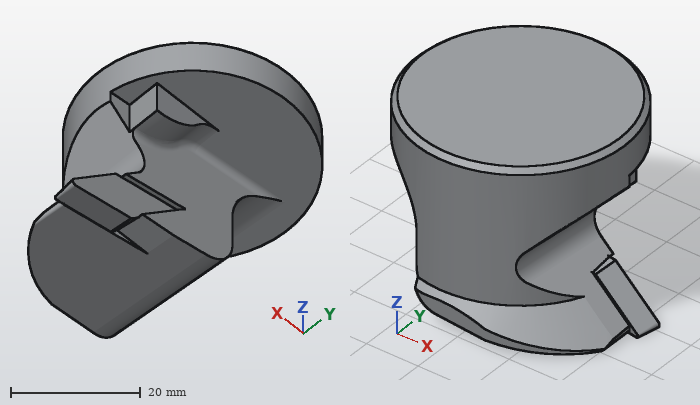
import cadquery as cq
import math

HEAD_TURN = 4.0

OVERALL_DEPTH = 41.15

DISC_DIAMETER = 40.0
DISC_RADIUS = DISC_DIAMETER / 2
DISC_CHAMFER = 1.0
DISC_BOTTOM = -7.25
STEM_LEFT = -5.55
NECK_RADIUS = 9.95
HEEL_RADIUS = 5.95
BASE_SLOPE = 5.2
BASE_AT_AXIS = -29.4
STEM_BACK = 2.8

NOTCH_CORNER_X = 10.75
NOTCH_CORNER_Z = -18.45
NOTCH_RISE = 45.0
NOTCH_FALL = 40.7
NOTCH_RADIUS = 4.1

FOOT_TOP = -25.4
FOOT_TOP_SLOPE = 0.9
FOOT_FRONT = DISC_RADIUS - OVERALL_DEPTH
FOOT_END = 24.4
FOOT_SIDE_START = -10.45
FOOT_CURVE_MIDDLE = (18.25, -17.35)
FOOT_CURVE_END = 9.2
FOOT_HEEL_START = -1.88
FOOT_HEEL_Y = -20.4
FOOT_TIP_ROUND = 0.45

BOSS_LOWER_RADIUS = 12.65
BOSS_UPPER_RADIUS = 5.8
BOSS_BOTTOM = -13.4
BOSS_END = 7.93
BOSS_FILLET = 1.15

INSERT_SIDE = 13.75
INSERT_ANGLE = 35.5
INSERT_BACK = 1.88
INSERT_THICKNESS = 4.5
INSERT_RELIEF = 5.0
INSERT_NOSE = 0.7
INSERT_CORNER_X = 28.25
INSERT_CORNER_Z = -32.5

RELIEF_TOP = -30.0
RELIEF_FRONT = -3.25
RELIEF_DEPTH = 4.7
RELIEF_SLANT = 0.8

REACH = 46.9


def turned(shape):
    """Turn a shape from the head frame into the part frame."""
    return shape.rotate((0, 0, 0), (0, 0, 1), -HEAD_TURN)


def block(x_min, x_max, y_min, y_max, z_min, z_max):
    """Box given by its limits."""
    size = (x_max - x_min, y_max - y_min, z_max - z_min)
    return cq.Workplane("XY").box(*size, centered=False).translate((x_min, y_min, z_min))


def make_disc():
    """Chamfered disc, long enough to leave the stem once the outline is trimmed."""
    return (
        cq.Workplane("XY")
        .circle(DISC_RADIUS)
        .extrude(-REACH)
        .faces(">Z")
        .chamfer(DISC_CHAMFER)
    )


def make_foot():
    """Curved toe whose top is a cone falling away from the stem wall."""
    turn = math.radians(HEAD_TURN)
    back_at_end = (INSERT_BACK - FOOT_END * math.sin(turn)) / math.cos(turn)
    back_at_axis = INSERT_BACK / math.cos(turn)
    plan = (
        cq.Workplane("XY")
        .moveTo(0, back_at_axis)
        .lineTo(FOOT_END, back_at_end)
        .lineTo(FOOT_END, FOOT_SIDE_START)
        .threePointArc(FOOT_CURVE_MIDDLE, (FOOT_CURVE_END, FOOT_FRONT))
        .lineTo(FOOT_HEEL_START, FOOT_FRONT)
        .tangentArcPoint((STEM_LEFT, FOOT_HEEL_Y), relative=False)
        .lineTo(STEM_LEFT, 0)
        .close()
        .extrude(-REACH)
    )
    drop = REACH + FOOT_TOP
    cone = (
        cq.Workplane("XZ")
        .moveTo(0, FOOT_TOP)
        .lineTo(DISC_RADIUS, FOOT_TOP)
        .lineTo(DISC_RADIUS + drop / FOOT_TOP_SLOPE, -REACH)
        .lineTo(0, -REACH)
        .close()
        .revolve(360, (0, 0, 0), (0, 1, 0))
    )
    return plan.intersect(cone)


def make_side_profile():
    """Outline of flange, neck, heel and sloping underside, spanning the full depth."""
    slope = math.radians(BASE_SLOPE)
    heel_x = STEM_LEFT + HEEL_RADIUS
    heel_end_x = heel_x - HEEL_RADIUS * math.sin(slope)
    heel_end_z = BASE_AT_AXIS - heel_end_x * math.tan(slope)
    heel_z = heel_end_z + HEEL_RADIUS * math.cos(slope)
    heel_mid = math.radians(180 + (90 - BASE_SLOPE) / 2)
    neck_x = STEM_LEFT - NECK_RADIUS
    neck_z = DISC_BOTTOM - NECK_RADIUS
    neck_mid = NECK_RADIUS * math.sqrt(0.5)
    return (
        cq.Workplane("XZ")
        .moveTo(-REACH, 0)
        .lineTo(-REACH, DISC_BOTTOM)
        .lineTo(neck_x, DISC_BOTTOM)
        .threePointArc((neck_x + neck_mid, neck_z + neck_mid), (STEM_LEFT, neck_z))
        .lineTo(STEM_LEFT, heel_z)
        .threePointArc(
            (heel_x + HEEL_RADIUS * math.cos(heel_mid), heel_z + HEEL_RADIUS * math.sin(heel_mid)),
            (heel_end_x, heel_end_z),
        )
        .lineTo(REACH, BASE_AT_AXIS - REACH * math.tan(slope))
        .lineTo(REACH, 0)
        .close()
        .extrude(REACH, both=True)
    )


def make_notch():
    """V-shaped chip space with a rounded root."""
    rise = math.tan(math.radians(NOTCH_RISE))
    fall = math.tan(math.radians(NOTCH_FALL))
    notch = (
        cq.Workplane("XZ")
        .moveTo(NOTCH_CORNER_X, NOTCH_CORNER_Z)
        .lineTo(NOTCH_CORNER_X + REACH, NOTCH_CORNER_Z + REACH * rise)
        .lineTo(NOTCH_CORNER_X + REACH, NOTCH_CORNER_Z - REACH * fall)
        .close()
        .extrude(REACH, both=True)
        .edges("|Y and <X")
        .fillet(NOTCH_RADIUS)
    )
    return turned(notch)


def boss_curve():
    """Start, two arc midpoints, the join and the end of the S-shaped boss underside."""
    radii = BOSS_UPPER_RADIUS + BOSS_LOWER_RADIUS
    sweep = math.acos(1 - (DISC_BOTTOM - BOSS_BOTTOM) / radii)
    end_x = NOTCH_CORNER_X + (BOSS_BOTTOM - NOTCH_CORNER_Z) / math.tan(math.radians(NOTCH_RISE))
    start_x = end_x - radii * math.sin(sweep)

    def upper(angle):
        drop = BOSS_UPPER_RADIUS * (1 - math.cos(angle))
        return (start_x + BOSS_UPPER_RADIUS * math.sin(angle), DISC_BOTTOM - drop)

    def lower(angle):
        rise = BOSS_LOWER_RADIUS * (1 - math.cos(angle))
        return (end_x - BOSS_LOWER_RADIUS * math.sin(angle), BOSS_BOTTOM + rise)

    return upper(0), upper(sweep / 2), upper(sweep), lower(sweep / 2), lower(0)


def make_boss():
    """Boss sweeping down from the disc to the upper notch face."""
    start, upper_mid, join, lower_mid, end = boss_curve()
    boss = (
        cq.Workplane("XZ")
        .moveTo(*start)
        .threePointArc(upper_mid, join)
        .threePointArc(lower_mid, end)
        .lineTo(end[0], DISC_BOTTOM)
        .close()
        .extrude(-REACH)
    )
    return turned(boss).cut(block(-REACH, REACH, BOSS_END, REACH, -REACH, 0))


def fillet_boss(holder):
    """Round the inside corner between the boss underside and the back of the stem."""
    _, upper_mid, _, lower_mid, _ = boss_curve()
    edges = cq.Workplane("XY")
    for x, z in (upper_mid, lower_mid):
        corner = turned(cq.Workplane(cq.Vertex.makeVertex(x, STEM_BACK, z))).val()
        edges = edges.add(holder.edges(cq.selectors.NearestToPointSelector(corner.toTuple())))
    return holder.newObject(edges.vals()).fillet(BOSS_FILLET)


def insert_outline(plane):
    """Sharp rhombus with its cutting corner at the lower right."""
    corner = cq.Vector(INSERT_CORNER_X, INSERT_CORNER_Z)
    low = math.radians(180 - BASE_SLOPE)
    high = math.radians(180 - BASE_SLOPE - INSERT_ANGLE)
    along_base = cq.Vector(math.cos(low), math.sin(low)) * INSERT_SIDE
    along_top = cq.Vector(math.cos(high), math.sin(high)) * INSERT_SIDE
    points = [corner, corner + along_base, corner + along_base + along_top, corner + along_top]
    return plane.polyline([(p.x, p.y) for p in points]).close()


def make_insert():
    """Rhombic cutting insert, its flanks relieved towards the front."""
    plane = cq.Workplane("XZ", origin=(0, INSERT_BACK, 0))
    blank = insert_outline(plane).extrude(INSERT_THICKNESS).edges("|Y and >X").fillet(INSERT_NOSE)
    outline = blank.faces(">Y").wires().val()
    return turned(plane.add(outline).toPending().extrude(INSERT_THICKNESS, taper=INSERT_RELIEF))


def make_pocket_opening():
    """Opening from the back of the insert out through the back of the stem."""
    plane = cq.Workplane("XZ", origin=(0, INSERT_BACK, 0))
    return turned(insert_outline(plane).extrude(-REACH))


def make_base_relief():
    """Clearance in the underside beside the insert, with a slanted front wall."""
    return (
        cq.Workplane("YZ")
        .moveTo(REACH, RELIEF_TOP)
        .lineTo(RELIEF_FRONT, RELIEF_TOP)
        .lineTo(RELIEF_FRONT - RELIEF_DEPTH * RELIEF_SLANT, RELIEF_TOP - RELIEF_DEPTH)
        .lineTo(REACH, RELIEF_TOP - RELIEF_DEPTH)
        .close()
        .extrude(REACH)
    )


def make_holder(insert):
    """Disc, stem and foot in one solid, with the pocket that takes the insert."""
    behind_stem = turned(block(-REACH, REACH, STEM_BACK, REACH, -REACH, DISC_BOTTOM))
    holder = make_disc().union(make_foot()).intersect(make_side_profile())
    holder = holder.cut(behind_stem)
    tip_edge = cq.selectors.NearestToPointSelector((FOOT_END, FOOT_SIDE_START / 2, -REACH))
    holder = holder.edges(tip_edge).fillet(FOOT_TIP_ROUND)
    holder = holder.union(make_boss())
    holder = fillet_boss(holder).cut(make_notch())
    return holder.cut(make_pocket_opening()).cut(make_base_relief()).cut(insert)


insert = make_insert()
holder = make_holder(insert)

result = cq.Compound.makeCompound([holder.val(), insert.val()])